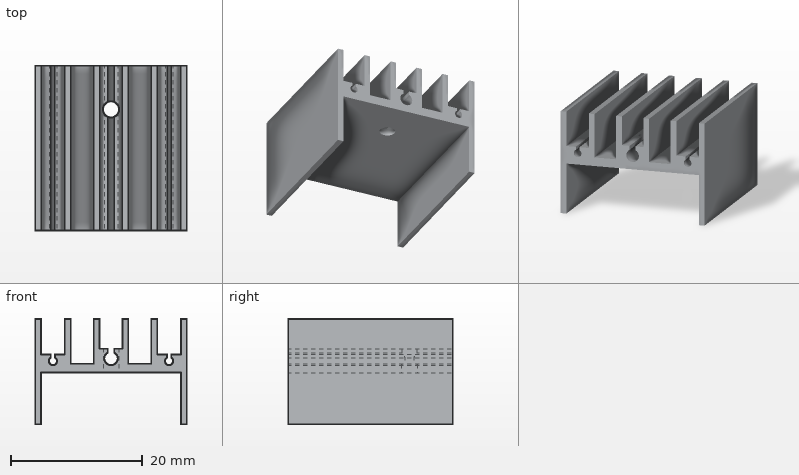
import cadquery as cq

width = 23.0
length = 25.0
height = 16.0

wall = 0.92
web_bottom = 7.85
web_thickness = 1.35
web_top = web_bottom + web_thickness
middle_fin_center = 6.55
inner_fin_center = 2.17

side_pad_top = 10.6
center_pad_top = 11.5

channel_floor = 9.0
center_bore_diameter = 2.0
center_slot_width = wall
side_bore_diameter = 1.2
side_slot_width = 0.6
outer_fin_center = (width - wall) / 2
side_channel_x = (outer_fin_center + middle_fin_center) / 2

mount_diameter = 2.42
mount_from_back = 6.63
mount_y = length / 2 - mount_from_back


def bar(x_center, x_size, z_low, z_high):
    """Full-length rectangular bar between two heights."""
    return (
        cq.Workplane("XY", origin=(x_center, 0, z_low))
        .rect(x_size, length)
        .extrude(z_high - z_low)
    )


def keyhole(x_center, bore_diameter, slot_width):
    """Full-length round channel with a slot opening to the top."""
    bore_z = channel_floor + bore_diameter / 2
    bore = (
        cq.Workplane("XZ", origin=(x_center, 0, bore_z))
        .circle(bore_diameter / 2)
        .extrude(length / 2, both=True)
    )
    return bore.union(bar(x_center, slot_width, bore_z, height))


def make_body():
    """Web, raised pads, outer walls and fins."""
    body = bar(0, width, web_bottom, web_top)
    body = body.union(bar(0, 2 * inner_fin_center, web_bottom, center_pad_top))
    for side in (-1, 1):
        pad_width = outer_fin_center - middle_fin_center
        body = body.union(bar(side * side_channel_x, pad_width, web_bottom, side_pad_top))
        body = body.union(bar(side * outer_fin_center, wall, 0, height))
        for fin_center in (inner_fin_center, middle_fin_center):
            body = body.union(bar(side * fin_center, wall, web_bottom, height))
    return body


def cut_channels(body):
    """One large central keyhole and a small one on each side."""
    body = body.cut(keyhole(0, center_bore_diameter, center_slot_width))
    for side in (-1, 1):
        body = body.cut(keyhole(side * side_channel_x, side_bore_diameter, side_slot_width))
    return body


def cut_mount_hole(body):
    """Vertical hole through the web and the central pad."""
    hole = (
        cq.Workplane("XY")
        .center(0, mount_y)
        .circle(mount_diameter / 2)
        .extrude(height)
    )
    return body.cut(hole)


result = cut_mount_hole(cut_channels(make_body())).clean()